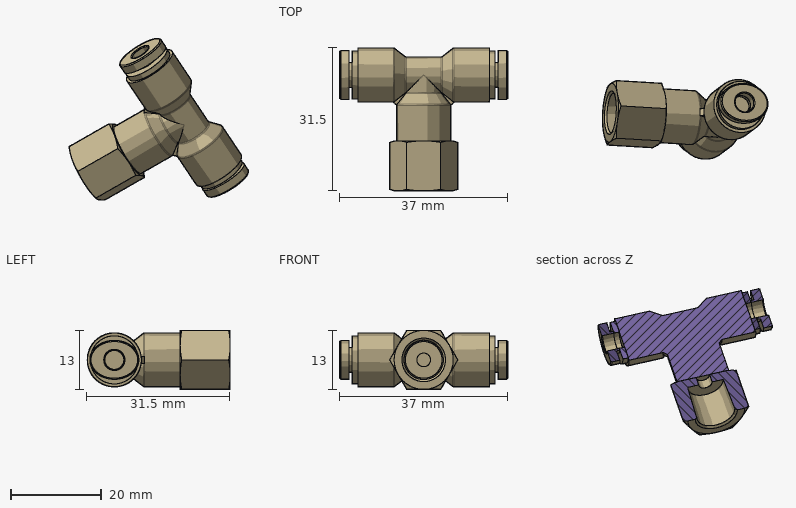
import cadquery as cq
import math


arm_length = 14.5
arm_dia = 11.9
waist_dia = 8.0
waist_end = 4.0
shoulder_start = 6.5
blend_radius = 0.48
web_thickness = 1.6
web_reach = 6.7

collar_dia = 10.6
collar_length = 1.22
collar_bore_dia = 4.18

overall_length = 37.0
flange_width = 10.8
flange_height = 8.6
flange_thickness = 2.1
flange_chamfer = 0.25
neck_dia = 5.5
tube_bore_dia = 4.2
tube_bore_chamfer = 0.22

hex_across_flats = 13.0
hex_length = 11.0
hex_corner_drop = 0.35
mouth_dia = 9.6
mouth_depth = 0.45
thread_dia = 8.65
thread_floor_dia = 8.05
thread_depth = 8.88
port_dia = 3.0

button_face = overall_length / 2
hex_across_corners = hex_across_flats / math.cos(math.radians(30))


def make_arm():
    """One stepped arm of the tee, revolved about X and reaching out to +X."""
    arm = (
        cq.Workplane("XY")
        .polyline([
            (0, 0),
            (0, waist_dia / 2),
            (waist_end, waist_dia / 2),
            (shoulder_start, arm_dia / 2),
            (arm_length, arm_dia / 2),
            (arm_length, 0),
        ])
        .close()
        .revolve(360, (0, 0, 0), (1, 0, 0))
    )
    cone_rims = arm.edges("%CIRCLE").edges(">>X[1] or >>X[2]")
    return cone_rims.fillet(blend_radius)


def make_web():
    """Flat web that fills the two inner corners between the run and the branch."""
    arm_radius = arm_dia / 2
    return (
        cq.Workplane("XY")
        .polyline([
            (-web_reach, 0),
            (-web_reach, -arm_radius),
            (-arm_radius, -web_reach),
            (arm_radius, -web_reach),
            (web_reach, -arm_radius),
            (web_reach, 0),
        ])
        .close()
        .extrude(web_thickness / 2, both=True)
    )


def make_tee():
    arm = make_arm()
    tee = make_web()
    for angle in (0, 180, -90):
        tee = tee.union(arm.rotate((0, 0, 0), (0, 0, 1), angle))
    return tee


def make_collar():
    """Ring against the end of the +X arm."""
    return (
        cq.Workplane("YZ", origin=(arm_length, 0, 0))
        .circle(collar_dia / 2)
        .circle(collar_bore_dia / 2)
        .extrude(collar_length)
    )


def make_button():
    """Release button on the +X side, its neck standing on the collar."""
    neck_start = arm_length + collar_length
    flange_start = button_face - flange_thickness
    flange = (
        cq.Workplane("YZ", origin=(flange_start, 0, 0))
        .ellipse(flange_width / 2, flange_height / 2)
        .extrude(flange_thickness)
        .faces(">X")
        .chamfer(flange_chamfer)
    )
    neck = (
        cq.Workplane("YZ", origin=(neck_start, 0, 0))
        .circle(neck_dia / 2)
        .extrude(flange_start - neck_start)
    )
    button = flange.union(neck).faces(">X").workplane().hole(tube_bore_dia)
    return button.faces(">X").edges("%CIRCLE").chamfer(tube_bore_chamfer)


def make_hex_end():
    """Hexagonal end with chamfered corners and a tapered thread bore open to -Y."""
    near = -arm_length
    far = near - hex_length
    hexagon = (
        cq.Workplane("XZ", origin=(0, near, 0))
        .polygon(6, hex_across_corners)
        .extrude(hex_length)
    )
    corner_envelope = (
        cq.Workplane("XY")
        .polyline([
            (0, near),
            (hex_across_flats / 2, near),
            (hex_across_corners / 2, near - hex_corner_drop),
            (hex_across_corners / 2, far + hex_corner_drop),
            (hex_across_flats / 2, far),
            (0, far),
        ])
        .close()
        .revolve(360, (0, 0, 0), (0, 1, 0))
    )
    bore = (
        cq.Workplane("XY")
        .polyline([
            (0, far),
            (mouth_dia / 2, far),
            (thread_dia / 2, far + mouth_depth),
            (thread_floor_dia / 2, far + thread_depth),
            (port_dia / 2, far + thread_depth),
            (port_dia / 2, near),
            (0, near),
        ])
        .close()
        .revolve(360, (0, 0, 0), (0, 1, 0))
    )
    return hexagon.intersect(corner_envelope).cut(bore)


tee = make_tee()
hex_end = make_hex_end()
collars = []
buttons = []
for angle in (0, 180):
    collars.append(make_collar().rotate((0, 0, 0), (0, 0, 1), angle).val())
    buttons.append(make_button().rotate((0, 0, 0), (0, 0, 1), angle).val())

result = cq.Compound.makeCompound([tee.val(), hex_end.val(), *collars, *buttons])